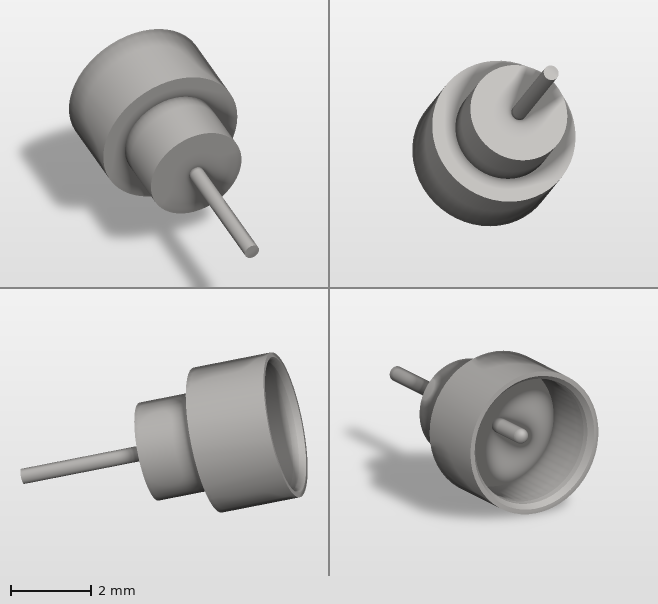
import cadquery as cq

total_length = 6.86
cup_length = 2.03
body_end = 3.56
cup_floor = 1.785
lead_in_depth = 0.15
taper_end = 0.3
pin_tip = 0.5

cup_diameter = 3.685
mouth_diameter = 3.445
lead_in_diameter = 3.225
bore_diameter = 3.175
body_diameter = 2.49
pin_diameter = 0.385


def cylinder(diameter, start, end):
    """Solid cylinder on the X axis between two axial positions."""
    return cq.Workplane("YZ", origin=(start, 0, 0)).circle(diameter / 2).extrude(end - start)


def cup_cavity():
    """Stepped-taper mouth leading into the cylindrical bore."""
    profile = [
        (0, 0),
        (0, mouth_diameter / 2),
        (lead_in_depth, lead_in_diameter / 2),
        (taper_end, bore_diameter / 2),
        (cup_floor, bore_diameter / 2),
        (cup_floor, 0),
    ]
    return cq.Workplane("XY").polyline(profile).close().revolve(360, (0, 0, 0), (1, 0, 0))


def centre_pin():
    """Pin through the whole part, with a hemispherical tip inside the cup."""
    pin_radius = pin_diameter / 2
    dome_base = pin_tip + pin_radius
    shaft = cylinder(pin_diameter, dome_base, total_length)
    dome = cq.Workplane("XY", origin=(dome_base, 0, 0)).sphere(pin_radius)
    return shaft.union(dome)


cup = cylinder(cup_diameter, 0, cup_length).cut(cup_cavity())
body = cylinder(body_diameter, cup_floor, body_end)
result = cup.union(body).union(centre_pin())